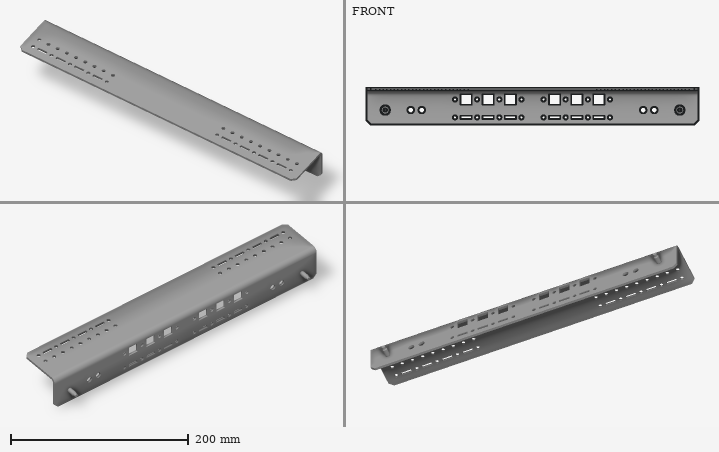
import cadquery as cq

LENGTH = 375.0
DECK_DEPTH = 57.0
HEIGHT = 42.0
THICKNESS = 3.0
INNER_BEND_RADIUS = 3.2
CORNER_CHAMFER = 5.0

PITCH = LENGTH / 30
ROUND_HOLE = 4.5
SLOT_LENGTH = 12.5
SLOT_WIDTH = 3.5

DECK_GROUP_STEPS = 8
SLOT_ROW_FROM_FRONT = 11.5

WEB_GROUP_STEPS = 3
LOWER_ROW_Z = 8.2
UPPER_ROW_Z = 28.5
WINDOW_WIDTH = 12.5
WINDOW_HEIGHT = 11.5
MOUNTING_HOLE = 7.0
MOUNTING_STEPS_FROM_END = (4, 5)
STUD_Z = 16.5

STUD_SPACING = 332.5
STUD_DIAMETER = 5.5
STUD_REACH = 13.0
HEAD_DIAMETER = 11.0
HEAD_THICKNESS = 1.5
HEAD_CHAMFER = 0.55
BORE_DIAMETER = 3.0
BORE_CHAMFER = 0.55
BORE_DEPTH = 2.0
SHANK_LENGTH = 9.0
SHOULDER_LENGTH = 1.0
TIP_DIAMETER = 4.0

WEB_FRONT = DECK_DEPTH - THICKNESS
STUD_X = STUD_SPACING / 2
SIDES = (-1, 1)


def make_sheet():
    """Folded sheet; the deck's front edge is at Y = 0, the web's lower edge at Z = 0."""
    sheet = (
        cq.Workplane("YZ")
        .moveTo(0, HEIGHT)
        .lineTo(DECK_DEPTH, HEIGHT)
        .lineTo(DECK_DEPTH, 0)
        .lineTo(WEB_FRONT, 0)
        .lineTo(WEB_FRONT, HEIGHT - THICKNESS)
        .lineTo(0, HEIGHT - THICKNESS)
        .close()
        .extrude(LENGTH / 2, both=True)
    )
    sheet = sheet.edges("|X and >Y and >Z").fillet(INNER_BEND_RADIUS + THICKNESS)
    inner_corner = cq.selectors.NearestToPointSelector((0, WEB_FRONT, HEIGHT - THICKNESS))
    sheet = sheet.edges(inner_corner).fillet(INNER_BEND_RADIUS)
    deck_corners = "|Z and <Y"
    web_corners = "|Y and <Z"
    for corners in (deck_corners, web_corners):
        sheet = sheet.edges(corners).chamfer(CORNER_CHAMFER)
    return sheet


def deck_perforation():
    """Round holes on every grid step of the rear row; round holes and slots alternate in the front row."""
    front_y = SLOT_ROW_FROM_FRONT
    rear_y = front_y + PITCH
    holes = []
    slots = []
    for side in SIDES:
        for step in range(DECK_GROUP_STEPS + 1):
            x = side * (LENGTH / 2 - (step + 1) * PITCH)
            holes.append((x, rear_y))
            if step % 2 == 0:
                holes.append((x, front_y))
            else:
                slots.append((x, front_y))
    plane = cq.Workplane("XY").workplane(offset=HEIGHT - THICKNESS)
    cutter = plane.pushPoints(holes).circle(ROUND_HOLE / 2).extrude(THICKNESS)
    return cutter.add(plane.pushPoints(slots).rect(SLOT_LENGTH, SLOT_WIDTH).extrude(THICKNESS))


def web_perforation():
    """Two rows of round holes with windows and slots between them, and two mounting holes near each end."""
    holes = []
    mounting_holes = []
    windows = []
    slots = []
    for side in SIDES:
        for step in range(WEB_GROUP_STEPS + 1):
            x = side * PITCH * (2 * step + 1)
            holes += [(x, LOWER_ROW_Z), (x, UPPER_ROW_Z)]
        for step in range(WEB_GROUP_STEPS):
            x = side * PITCH * (2 * step + 2)
            windows.append((x, UPPER_ROW_Z))
            slots.append((x, LOWER_ROW_Z))
        for steps_from_end in MOUNTING_STEPS_FROM_END:
            mounting_holes.append((side * (LENGTH / 2 - steps_from_end * PITCH), STUD_Z))
    plane = cq.Workplane("XZ", origin=(0, DECK_DEPTH, 0))
    cutter = plane.pushPoints(holes).circle(ROUND_HOLE / 2).extrude(THICKNESS)
    cutter = cutter.add(plane.pushPoints(mounting_holes).circle(MOUNTING_HOLE / 2).extrude(THICKNESS))
    cutter = cutter.add(plane.pushPoints(windows).rect(WINDOW_WIDTH, WINDOW_HEIGHT).extrude(THICKNESS))
    return cutter.add(plane.pushPoints(slots).rect(SLOT_LENGTH, SLOT_WIDTH).extrude(THICKNESS))


def stud_seats():
    """Counterbored holes in the web that the studs fill."""
    centres = [(side * STUD_X, STUD_Z) for side in SIDES]
    plane = cq.Workplane("XZ", origin=(0, DECK_DEPTH, 0))
    seats = plane.pushPoints(centres).circle(STUD_DIAMETER / 2).extrude(THICKNESS)
    head_plane = cq.Workplane("XZ", origin=(0, WEB_FRONT + HEAD_THICKNESS, 0))
    return seats.add(head_plane.pushPoints(centres).circle(HEAD_DIAMETER / 2).extrude(HEAD_THICKNESS))


def make_bracket():
    """Folded sheet with all its holes."""
    bracket = make_sheet()
    for cutters in (deck_perforation(), web_perforation(), stud_seats()):
        for cutter in cutters.vals():
            bracket = bracket.cut(cq.Workplane(cutter))
    return bracket


def make_stud(x):
    """Turned stud: flush chamfered head with a blind bore, shank, conical shoulder and narrower tip."""
    head_radius = HEAD_DIAMETER / 2
    bore_radius = BORE_DIAMETER / 2
    shank_radius = STUD_DIAMETER / 2
    tip_radius = TIP_DIAMETER / 2
    head_back = WEB_FRONT + HEAD_THICKNESS
    shank_end = DECK_DEPTH + SHANK_LENGTH
    tip_end = DECK_DEPTH + STUD_REACH
    half_section = (
        cq.Workplane("XY")
        .moveTo(0, WEB_FRONT + BORE_DEPTH)
        .lineTo(-bore_radius, WEB_FRONT + BORE_DEPTH)
        .lineTo(-bore_radius, WEB_FRONT + BORE_CHAMFER)
        .lineTo(-bore_radius - BORE_CHAMFER, WEB_FRONT)
        .lineTo(-head_radius + HEAD_CHAMFER, WEB_FRONT)
        .lineTo(-head_radius, WEB_FRONT + HEAD_CHAMFER)
        .lineTo(-head_radius, head_back)
        .lineTo(-shank_radius, head_back)
        .lineTo(-shank_radius, shank_end)
        .lineTo(-tip_radius, shank_end + SHOULDER_LENGTH)
        .lineTo(-tip_radius, tip_end)
        .lineTo(0, tip_end)
        .close()
    )
    return half_section.revolve(360, (0, 0, 0), (0, 1, 0)).translate((x, 0, STUD_Z))


bracket = make_bracket()
studs = [make_stud(side * STUD_X) for side in SIDES]

result = cq.Compound.makeCompound([bracket.val(), *[stud.val() for stud in studs]])